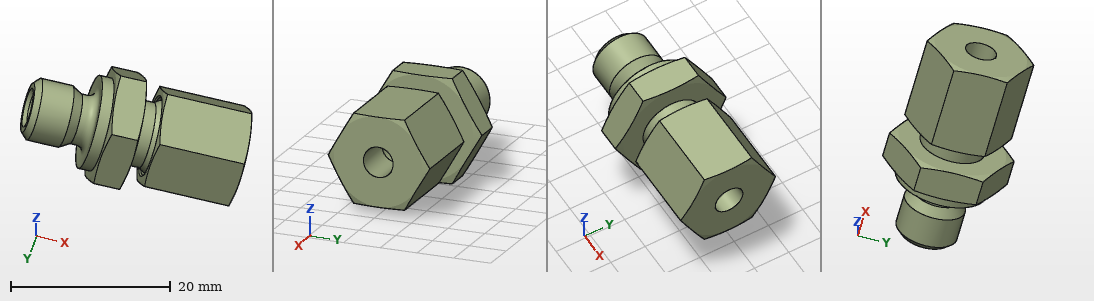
import cadquery as cq
import math

total_length = 27.5

bore_radius = 2.0
mouth_radius = 2.5
mouth_depth = 0.5

stud_radius = 4.0
stud_lead = 0.8
stud_end = 4.9
undercut_radius = 3.22
collar_start = 8.0
collar_radius = 6.0
dish_rim_radius = 5.53
dish_angle = 7.0
dish_fillet = 1.05

body_hex_start = 9.52
body_hex_end = 13.48
body_hex_flats = 14.0

neck_radius = 4.2
neck_end = 15.5
spigot_radius = 5.0
spigot_end = 21.5

nut_start = 16.0
nut_flats = 12.0
nut_mouth_radius = 5.2

runout_angle = 30.0
hex_chamfer_angle = 15.0


def runout_length(radius_change):
    """Axial length of a conical thread runout."""
    return radius_change / math.tan(math.radians(runout_angle))


def revolve_about_x(profile):
    return profile.close().revolve(360, (0, 0, 0), (1, 0, 0))


def chamfered_hexagon(start, end, flats):
    """Hexagonal prism with flats on +Z and -Z and conically turned corners at both ends."""
    corner_radius = flats / math.sqrt(3)
    face_radius = flats / 2
    chamfer = (corner_radius - face_radius) * math.tan(math.radians(hex_chamfer_angle))
    prism = cq.Workplane("YZ", origin=(start, 0, 0)).polygon(6, 2 * corner_radius).extrude(end - start)
    turned_blank = revolve_about_x(
        cq.Workplane("XY")
        .moveTo(start, 0)
        .lineTo(start, face_radius)
        .lineTo(start + chamfer, corner_radius)
        .lineTo(end - chamfer, corner_radius)
        .lineTo(end, face_radius)
        .lineTo(end, 0)
    )
    return prism.intersect(turned_blank)


def bore_cutter():
    """Straight bore with a countersunk mouth at the male end."""
    return revolve_about_x(
        cq.Workplane("XY")
        .lineTo(0, mouth_radius)
        .lineTo(mouth_depth, bore_radius)
        .lineTo(total_length, bore_radius)
        .lineTo(total_length, 0)
    )


def stud_and_collar():
    """Male stud, undercut and collar; a fillet joins the undercut to the conical dish."""
    undercut_start = stud_end + runout_length(stud_radius - undercut_radius)
    slope = math.radians(dish_angle)

    fillet_turn = math.pi / 2 + slope
    center_radius = undercut_radius + dish_fillet
    fillet_end_radius = center_radius + dish_fillet * math.sin(slope)
    dish_depth = (dish_rim_radius - fillet_end_radius) * math.tan(slope)
    fillet_end = collar_start + dish_depth
    fillet_start = fillet_end - dish_fillet * math.cos(slope)
    fillet_middle = (
        fillet_start + dish_fillet * math.sin(fillet_turn / 2),
        center_radius - dish_fillet * math.cos(fillet_turn / 2),
    )
    return revolve_about_x(
        cq.Workplane("XY")
        .lineTo(0, stud_radius - stud_lead)
        .lineTo(stud_lead, stud_radius)
        .lineTo(stud_end, stud_radius)
        .lineTo(undercut_start, undercut_radius)
        .lineTo(fillet_start, undercut_radius)
        .threePointArc(fillet_middle, (fillet_end, fillet_end_radius))
        .lineTo(collar_start, dish_rim_radius)
        .lineTo(collar_start, collar_radius)
        .lineTo(body_hex_start, collar_radius)
        .lineTo(body_hex_start, 0)
    )


def spigot():
    """Neck behind the body hexagon, widening to the threaded spigot."""
    spigot_start = neck_end + runout_length(spigot_radius - neck_radius)
    return revolve_about_x(
        cq.Workplane("XY")
        .moveTo(body_hex_end, 0)
        .lineTo(body_hex_end, neck_radius)
        .lineTo(neck_end, neck_radius)
        .lineTo(spigot_start, spigot_radius)
        .lineTo(spigot_end, spigot_radius)
        .lineTo(spigot_end, 0)
    )


def make_body():
    body_hexagon = chamfered_hexagon(body_hex_start, body_hex_end, body_hex_flats)
    return stud_and_collar().union(body_hexagon).union(spigot()).cut(bore_cutter())


def nut_recess_cutter():
    """Recess that takes the spigot and clears its runout, countersunk 45 degrees at the mouth."""
    mouth_bevel = nut_mouth_radius - spigot_radius
    return revolve_about_x(
        cq.Workplane("XY")
        .moveTo(nut_start, 0)
        .lineTo(nut_start, nut_mouth_radius)
        .lineTo(nut_start + mouth_bevel, spigot_radius)
        .lineTo(spigot_end, spigot_radius)
        .lineTo(spigot_end, 0)
    )


def make_nut():
    nut_hexagon = chamfered_hexagon(nut_start, total_length, nut_flats)
    return nut_hexagon.cut(nut_recess_cutter()).cut(bore_cutter())


body = make_body()
nut = make_nut()

result = cq.Compound.makeCompound([body.solids().val(), nut.solids().val()])